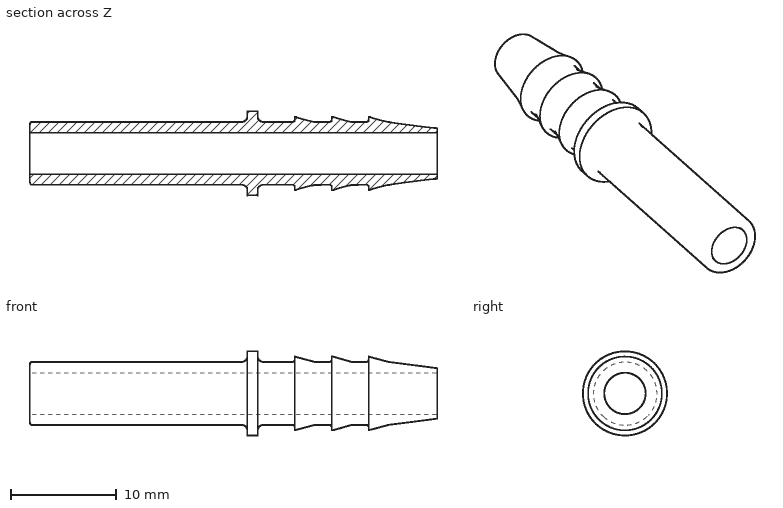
import cadquery as cq
import math

LENGTH = 38.6
TUBE_RADIUS = 3.0
BORE_RADIUS = 1.95
INLET_ROUND = 0.25

COLLAR_RADIUS = 4.0
COLLAR_WIDTH = 1.0
COLLAR_START = 20.6
COLLAR_FILLET = 0.5

BARB_RADIUS = 3.5
BARB_ANGLE = 15.0
BARB_ROOT_FILLET = 0.2
CREST_LANDS = (0, 0.12, 0)
BARB_COUNT = len(CREST_LANDS)
BARB_PITCH = 3.5
FIRST_BARB_START = 25.1
BARB_LENGTH = (BARB_RADIUS - TUBE_RADIUS) / math.tan(math.radians(BARB_ANGLE))

TIP_RADIUS = 2.4
TIP_ROUND = 0.05


def cylinder(start, length, radius):
    """Solid cylinder along X."""
    return cq.Workplane("YZ", origin=(start, 0, 0)).circle(radius).extrude(length)


def cone(start, length, start_radius, end_radius):
    """Solid truncated cone along X."""
    base = cq.Vector(start, 0, 0)
    axis = cq.Vector(1, 0, 0)
    return cq.Workplane("XY").add(cq.Solid.makeCone(start_radius, end_radius, length, base, axis))


def stem():
    """Straight tube whose far end tapers from the last barb to the tip."""
    taper_start = FIRST_BARB_START + (BARB_COUNT - 1) * BARB_PITCH + BARB_LENGTH
    tube = cylinder(0, taper_start, TUBE_RADIUS)
    tube = tube.faces("<X").edges().fillet(INLET_ROUND)
    tip = cone(taper_start, LENGTH - taper_start, TUBE_RADIUS, TIP_RADIUS)
    tip = tip.faces(">X").edges().fillet(TIP_ROUND)
    return tube.union(tip)


def root_fillet(face_x, radius, side):
    """Ring with a concave fillet between the tube and a flat face at face_x; side is -1 or +1 along X."""
    foot_x = face_x + side * radius
    top = TUBE_RADIUS + radius
    sag = radius * (1 - math.sqrt(0.5))
    profile = (
        cq.Workplane("XY")
        .moveTo(face_x, BORE_RADIUS)
        .lineTo(face_x, top)
        .threePointArc((face_x + side * sag, TUBE_RADIUS + sag), (foot_x, TUBE_RADIUS))
        .lineTo(foot_x, BORE_RADIUS)
        .close()
    )
    return profile.revolve(360, (0, 0, 0), (1, 0, 0))


def collar():
    """Stop collar blended into the tube on both sides."""
    disc = cylinder(COLLAR_START, COLLAR_WIDTH, COLLAR_RADIUS)
    left_fillet = root_fillet(COLLAR_START, COLLAR_FILLET, -1)
    right_fillet = root_fillet(COLLAR_START + COLLAR_WIDTH, COLLAR_FILLET, 1)
    return disc.union(left_fillet).union(right_fillet)


def barb(index):
    """One barb: a flat back face with a filleted root, a crest land and a cone falling to the tube."""
    back = FIRST_BARB_START + index * BARB_PITCH
    crest_land = CREST_LANDS[index]
    ramp = cone(back + crest_land, BARB_LENGTH - crest_land, BARB_RADIUS, TUBE_RADIUS)
    if crest_land > 0:
        ramp = ramp.union(cylinder(back, crest_land, BARB_RADIUS))
    return ramp.union(root_fillet(back, BARB_ROOT_FILLET, -1))


body = stem().union(collar())
for barb_index in range(BARB_COUNT):
    body = body.union(barb(barb_index))

result = body.cut(cylinder(0, LENGTH, BORE_RADIUS))